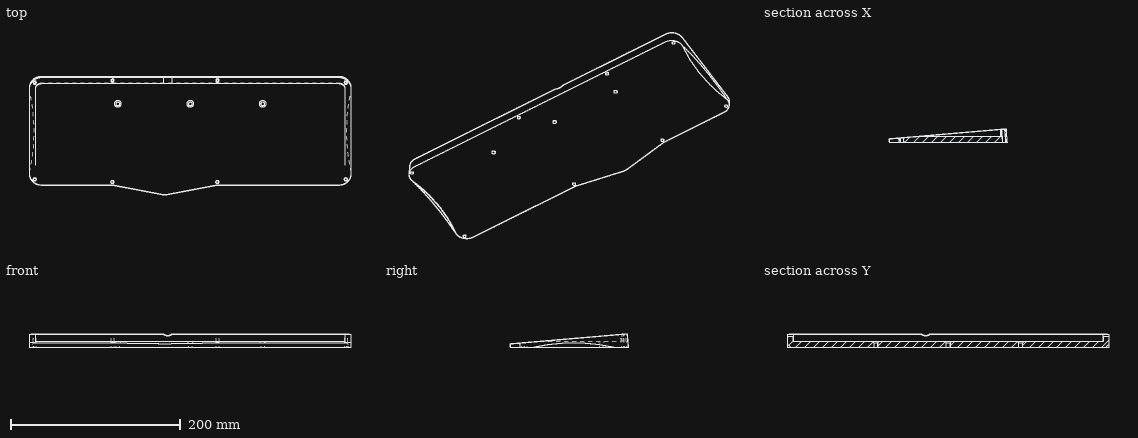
import cadquery as cq
import math

length = 379.0
depth = 139.5
height = 16.3
tilt = 4.9

corner_radius = 14.0
point_x = -30.0
point_half_width = 61.8
point_reach = 11.7
point_radius = 18.0

rim = 7.2
pocket_run = 103.0
pocket_corner_radius = corner_radius - rim

screw_diameter = 3.5
corner_hole_inset_x = 6.5
corner_hole_back = 6.5
corner_hole_front = 120.5
edge_hole_back = 3.8
edge_hole_front = 123.5

floor_hole_diameter = 4.0
countersink_diameter = 8.0
countersink_angle = 90.0
floor_hole_spacing = 85.3
floor_hole_y = 37.5

groove_x = -26.5
groove_width = 10.2
groove_depth = 2.0

scoop_length = 97.8
scoop_rise = 5.5
scoop_y = 5.3

slope = math.radians(tilt)
back_top_y = depth / 2 - height * math.tan(slope)
top_plane = cq.Plane(
    origin=(0, back_top_y, height),
    xDir=(1, 0, 0),
    normal=(0, -math.sin(slope), math.cos(slope)),
)
floor_z = height - pocket_run * math.sin(slope)
cut_length = 2 * height
half_length = length / 2

point_angle = math.atan(point_reach / point_half_width)
tip_rounding_loss = point_radius * (1 / math.cos(point_angle) - 1)
slope_length = (back_top_y + depth / 2) / math.cos(slope)
straight_depth = slope_length - point_reach + tip_rounding_loss


def wedge():
    """Pointed outline extruded square to the sloping face and cut off level at z = 0."""
    slab = (
        cq.Workplane(top_plane)
        .center(0, -straight_depth / 2)
        .sketch()
        .rect(length, straight_depth)
        .vertices()
        .fillet(corner_radius)
        .finalize()
        .extrude(-cut_length)
    )
    bulge = (
        cq.Workplane(top_plane)
        .center(point_x, -straight_depth)
        .sketch()
        .polygon(
            [
                (-point_half_width, 0),
                (0, -point_reach),
                (point_half_width, 0),
                (0, straight_depth / 2),
                (-point_half_width, 0),
            ]
        )
        .vertices("<Y")
        .fillet(point_radius)
        .finalize()
        .extrude(-cut_length)
    )
    above_ground = cq.Workplane().box(2 * length, 2 * length, 2 * height, centered=(True, True, False))
    return slab.union(bulge).intersect(above_ground)


def pocket():
    """Pocket walls are square to the sloping face; the floor is level."""
    walls = (
        cq.Workplane(top_plane)
        .center(0, -rim - straight_depth / 2)
        .sketch()
        .rect(length - 2 * rim, straight_depth)
        .vertices(">Y")
        .fillet(pocket_corner_radius)
        .finalize()
        .extrude(cut_length, both=True)
    )
    above_floor = (
        cq.Workplane()
        .workplane(offset=floor_z)
        .box(2 * length, 2 * length, 2 * height, centered=(True, True, False))
    )
    return walls.intersect(above_floor)


def screw_holes():
    corner_x = half_length - corner_hole_inset_x
    points = []
    for side in (-1, 1):
        edge_x = point_x + side * point_half_width
        points += [(side * corner_x, -corner_hole_back), (side * corner_x, -corner_hole_front)]
        points += [(edge_x, -edge_hole_back), (edge_x, -edge_hole_front)]
    return (
        cq.Workplane(top_plane)
        .pushPoints(points)
        .circle(screw_diameter / 2)
        .extrude(cut_length, both=True)
    )


def drill_floor(body):
    """Row of countersunk holes through the pocket floor."""
    return (
        body.copyWorkplane(cq.Workplane("XY", origin=(0, floor_hole_y, floor_z)))
        .pushPoints([(i * floor_hole_spacing, 0) for i in (-1, 0, 1)])
        .cskHole(floor_hole_diameter, countersink_diameter, countersink_angle)
    )


def cable_groove():
    """Shallow round groove along the slope, through the back rim only."""
    half_width = groove_width / 2
    radius = (half_width**2 + groove_depth**2) / (2 * groove_depth)
    groove_plane = cq.Plane(
        origin=top_plane.toWorldCoords((groove_x, 0, radius - groove_depth)).toTuple(),
        xDir=(1, 0, 0),
        normal=top_plane.yDir.toTuple(),
    )
    return cq.Workplane(groove_plane).circle(radius).extrude(2 * rim, both=True)


def finger_scoop(side):
    """Spindle-shaped hollow: a shallow arc turned about the lower end edge."""
    half_scoop = scoop_length / 2
    return (
        cq.Workplane("YZ", origin=(side * half_length, scoop_y, 0))
        .moveTo(-half_scoop, 0)
        .threePointArc((0, scoop_rise), (half_scoop, 0))
        .close()
        .revolve(360, (0, 0, 0), (1, 0, 0))
    )


result = wedge().cut(pocket())
result = drill_floor(result)
result = result.cut(screw_holes()).cut(cable_groove())
for side in (-1, 1):
    result = result.cut(finger_scoop(side))